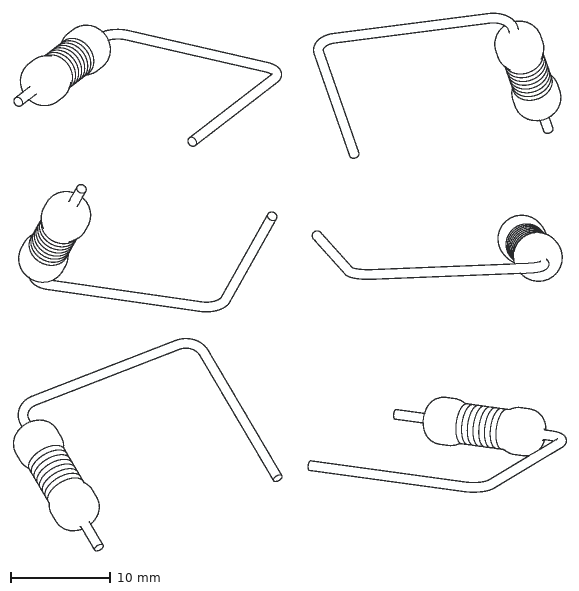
import cadquery as cq
import math

wire_diameter = 1.0
wire_radius = wire_diameter / 2
lead_pitch = 20.0
bend_radius = 2.0
overall_length = 19.8

body_centre = 9.95
cap_radius = 4.8 / 2
waist_radius = 4.08 / 2
band_radius = 4.1 / 2
shoulder_half_length = 4.7
end_rounding = 1.65
neck_fillet = 0.45
cap_cylinder_length = 1.1

band_count = 4
band_width = 0.64
band_pitch = 2 * band_width
band_row_length = (band_count - 1) * band_pitch + band_width

step_start = shoulder_half_length - cap_cylinder_length
step_end = band_row_length / 2
step_middle = (step_start + step_end) / 2
step_middle_radius = (cap_radius + waist_radius) / 2

end_arc_radius_offset = cap_radius - end_rounding
neck_arc_radius_offset = wire_radius + neck_fillet
arc_centre_spacing = end_rounding + neck_fillet
radial_spacing = neck_arc_radius_offset - end_arc_radius_offset
axial_spacing = math.sqrt(arc_centre_spacing**2 - radial_spacing**2)
tangent_angle = math.atan2(axial_spacing, radial_spacing)
neck_half_length = shoulder_half_length + axial_spacing


def arc_point(centre_radius, centre_axial, radius, angle):
    """Point (distance from axis, axial position) on an arc in the half section."""
    return (centre_radius + radius * math.cos(angle), centre_axial + radius * math.sin(angle))


def make_half_body():
    """Half of the body, from its middle plane to the neck on the +Y side."""
    end_arc = (end_arc_radius_offset, shoulder_half_length, end_rounding)
    neck_arc = (neck_arc_radius_offset, neck_half_length, neck_fillet)
    neck_start_angle = tangent_angle - math.pi
    neck_mid_angle = (neck_start_angle - math.pi) / 2
    return (
        cq.Workplane("XY")
        .moveTo(0, 0)
        .lineTo(waist_radius, 0)
        .lineTo(waist_radius, step_end)
        .tangentArcPoint((step_middle_radius, step_middle), relative=False)
        .tangentArcPoint((cap_radius, step_start), relative=False)
        .lineTo(cap_radius, shoulder_half_length)
        .threePointArc(arc_point(*end_arc, tangent_angle / 2), arc_point(*end_arc, tangent_angle))
        .threePointArc(arc_point(*neck_arc, neck_mid_angle), (wire_radius, neck_half_length))
        .lineTo(0, neck_half_length)
        .close()
        .revolve(360, (0, 0), (0, 1))
    )


def make_band(index):
    """One colour band of the row, which is centred on the body middle."""
    centre = (index - (band_count - 1) / 2) * band_pitch
    return (
        cq.Workplane("XZ", origin=(0, centre + band_width / 2, 0))
        .circle(band_radius)
        .extrude(band_width)
    )


def make_body():
    """Complete body with its colour bands, placed along the lead."""
    half = make_half_body()
    body = half.union(half.mirror("XZ"))
    for index in range(band_count):
        body = body.union(make_band(index))
    return body.translate((0, body_centre, 0))


def make_wire():
    """Lead running through the body, folded over and back down beside it."""
    top = overall_length - wire_radius
    bend_start = top - bend_radius
    bend_end = lead_pitch - bend_radius
    path = (
        cq.Workplane("XY")
        .moveTo(0, 0)
        .lineTo(0, bend_start)
        .tangentArcPoint((bend_radius, top), relative=False)
        .lineTo(bend_end, top)
        .tangentArcPoint((lead_pitch, bend_start), relative=False)
        .lineTo(lead_pitch, 0)
    )
    return cq.Workplane("XZ").circle(wire_radius).sweep(path)


result = make_wire().union(make_body())